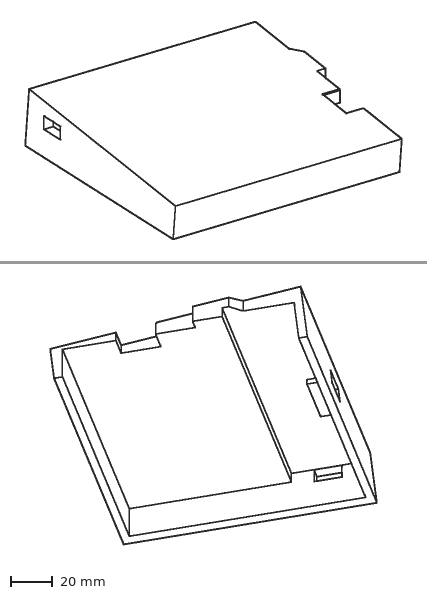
import cadquery as cq
import math

length = 128.0
height = 31.6
total_depth = 137
tab_reach = 5.0
body_depth = total_depth - tab_reach
tilt = 6
slope = math.tan(math.radians(tilt))
top_left_x = height * slope
top_right_z = height - (length - top_left_x) * slope
bottom_right_x = length - top_right_z * slope

side_wall = 4.2
front_wall = 5.5
high_ceiling_z = 22.3
low_ceiling_z = 17.0
ceiling_step_x = 41.1
cavity_right_x = bottom_right_x - side_wall

tab_left_x = 31.9
tab_right_x = 55.8
tab_chamfer_length = 5.8

notch_left_x = 75.0
notch_right_x = 95.2
notch_depth = 10.0
notch_lip_width = 0.5
notch_lip_drop = 0.4

window_left_x = 16.0
window_width = 13.8
window_bottom_z = 15.1
window_height = 7.1

slot_front_y = 65.1
slot_width = 15.0
slot_bottom_z = 12.2
slot_height = 8.0
ledge_margin = 5.5
ledge_reach = 6.8
ledge_thickness = 2.7


def profile_prism(points, start_y, end_y):
    """Extrude an XZ outline along +Y."""
    return cq.Workplane("XZ", origin=(0, start_y, 0)).polyline(points).close().extrude(start_y - end_y)


def box(x, y, z, size_x, size_y, size_z):
    """Box placed by its lowest corner."""
    return cq.Workplane("XY").box(size_x, size_y, size_z, centered=False).translate((x, y, z))


def plan_prism(points):
    """Extrude an XY outline upward through the whole height."""
    return cq.Workplane("XY").polyline(points).close().extrude(height)


wedge_outline = [(0, 0), (top_left_x, height), (length, top_right_z), (bottom_right_x, 0)]
body = profile_prism(wedge_outline, 0, body_depth)
tab = plan_prism([
    (tab_left_x, body_depth - front_wall),
    (tab_left_x, body_depth),
    (tab_left_x + tab_chamfer_length, total_depth),
    (tab_right_x, total_depth),
    (tab_right_x, body_depth - front_wall),
])
tab = tab.intersect(profile_prism(wedge_outline, 0, total_depth))
body = body.union(tab)

cavity_left_top_x = side_wall + high_ceiling_z * slope
cavity = profile_prism(
    [
        (side_wall, 0),
        (cavity_left_top_x, high_ceiling_z),
        (ceiling_step_x, high_ceiling_z),
        (ceiling_step_x, low_ceiling_z),
        (cavity_right_x, low_ceiling_z),
        (cavity_right_x, 0),
    ],
    front_wall,
    total_depth,
)
body = body.cut(cavity)

notch_front_y = body_depth - notch_depth
notch = plan_prism([
    (notch_left_x, notch_front_y),
    (notch_right_x, notch_front_y),
    (notch_right_x, total_depth),
    (notch_left_x, total_depth),
])
lip_right_x = notch_left_x + notch_lip_width
lip_top_z = height - (lip_right_x - top_left_x) * slope - notch_lip_drop
lip = box(
    notch_left_x,
    notch_front_y,
    low_ceiling_z,
    notch_lip_width,
    notch_depth,
    lip_top_z - low_ceiling_z,
)
notch = notch.cut(lip)
body = body.cut(notch)

window = box(window_left_x, 0, window_bottom_z, window_width, front_wall, window_height)
body = body.cut(window)

ledge_length = slot_bottom_z * slope + ledge_reach
ledge = box(
    side_wall,
    slot_front_y - ledge_margin,
    slot_bottom_z - ledge_thickness,
    ledge_length,
    slot_width + 2 * ledge_margin,
    ledge_thickness,
)
body = body.union(ledge)

slot = box(0, slot_front_y, slot_bottom_z, cavity_left_top_x, slot_width, slot_height)
result = body.cut(slot)